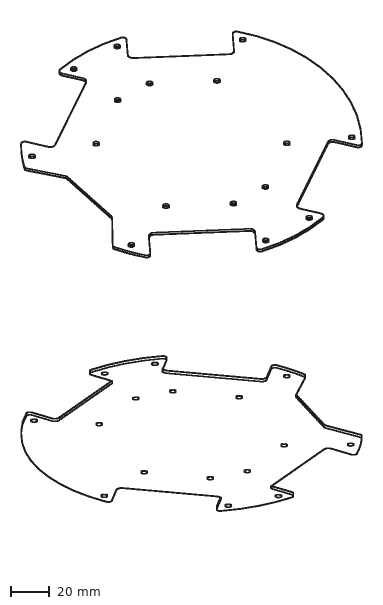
import cadquery as cq
import math

thickness = 1.6
disc_radius = 88.0

notch_angle = 34.0
floor_distance = 66.3
side_flank_offset = 28.9
end_flank_offset = 26.0

front_floor_half_width = 19.4
front_flank_angle = 36.6

notch_corner_radius = 2.6
tip_radius = 2.0

hole_diameter = 3.2
top_lobe_hole = (46.5, 68.6)
side_lobe_hole = (81.7, 14.0)
bottom_lobe_hole = (42.2, -71.3)
inner_end_hole = (29.7, 39.2)
inner_side_hole = (49.3, 10.4)

rim_overrun = 17.6
cutter_end = disc_radius + rim_overrun
cutter_length = cutter_end - floor_distance


def notch_cutter(floor_low, floor_high, end_low, end_high, direction):
    """Cutter with straight or flared sides, from its rounded floor to beyond the rim.

    The four bounds are measured across the notch; direction is the angle it opens towards.
    """
    outline = [
        (floor_distance, floor_low),
        (floor_distance, floor_high),
        (cutter_end, end_high),
        (cutter_end, end_low),
    ]
    cutter = cq.Workplane("XY").polyline(outline).close().extrude(thickness)
    cutter = cutter.edges("|Z and <X").fillet(notch_corner_radius)
    return cutter.rotate((0, 0, 0), (0, 0, 1), direction)


def diagonal_notches():
    """Four notches, mirrored from the one in the +X +Y quadrant."""
    first = notch_cutter(
        -side_flank_offset, end_flank_offset,
        -side_flank_offset, end_flank_offset,
        notch_angle,
    )
    upper_pair = first.union(first.mirror("YZ"))
    return upper_pair.union(upper_pair.mirror("XZ"))


def front_notch():
    """Flared notch that opens towards -Y."""
    flare = cutter_length / math.tan(math.radians(front_flank_angle))
    end_half_width = front_floor_half_width + flare
    return notch_cutter(
        -front_floor_half_width, front_floor_half_width,
        -end_half_width, end_half_width,
        -90,
    )


def round_lobe_tips(plate):
    """Round the upright edges on the rim, leaving out the seam of the disc on the X axis."""
    tolerance = 0.02
    tips = plate.edges("|Z").filter(
        lambda edge: math.hypot(edge.Center().x, edge.Center().y) > disc_radius - tolerance
        and abs(edge.Center().y) > tolerance
    )
    return tips.fillet(tip_radius)


def through_holes():
    right_side = [top_lobe_hole, bottom_lobe_hole]
    for x, y in (side_lobe_hole, inner_end_hole, inner_side_hole):
        right_side += [(x, y), (x, -y)]
    left_side = [(-x, y) for x, y in right_side]
    return (
        cq.Workplane("XY")
        .pushPoints(right_side + left_side)
        .circle(hole_diameter / 2)
        .extrude(thickness)
    )


disc = cq.Workplane("XY").circle(disc_radius).extrude(thickness)
notched = disc.cut(diagonal_notches()).cut(front_notch())
result = round_lobe_tips(notched).cut(through_holes())